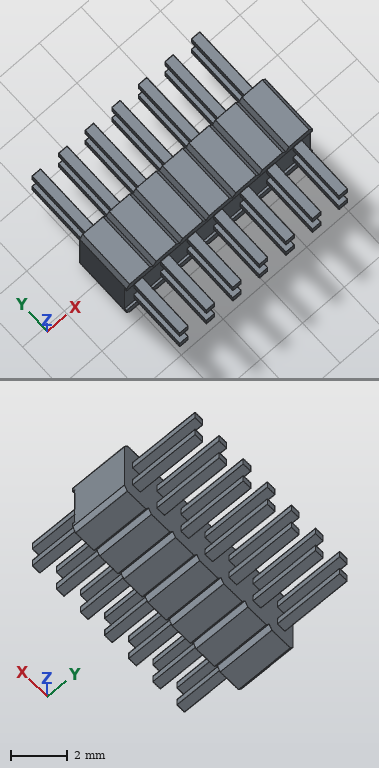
import cadquery as cq


body_length = 8.89
body_depth = 2.5
body_height = 3.4
columns = 7
rows = 2
pin_width = 0.4
total_depth = 7.85
back_pin_length = 3.005
notch_half_width = 0.15
notch_depth = 0.26
lip_height = 0.5
recess_depth = 0.1

pitch = body_length / columns
recess_height = body_height - 2 * lip_height
body_front = -body_depth / 2
pin_back = body_depth / 2 + back_pin_length


def break_off_notches():
    """V grooves along Y between columns; at the two ends half a V bevels the corner."""
    notches = cq.Workplane("XZ", origin=(0, body_depth / 2, 0))
    for side in (1, -1):
        edge_z = side * body_height / 2
        tip_z = edge_z - side * notch_depth
        for index in range(columns + 1):
            x = -body_length / 2 + index * pitch
            notches = notches.moveTo(x - notch_half_width, edge_z)
            notches = notches.lineTo(x, tip_z).lineTo(x + notch_half_width, edge_z).close()
    return notches.extrude(body_depth)


def front_recess():
    """Shallow channel along X in the front face, leaving a lip above and below."""
    channel = cq.Workplane("XY").box(body_length, recess_depth, recess_height)
    return channel.translate((0, body_front + recess_depth / 2, 0))


def pins():
    """Grid of square pins running through the block from back to front."""
    return (
        cq.Workplane("XZ", origin=(0, pin_back, 0))
        .rarray(pitch, pitch, columns, rows)
        .rect(pin_width, pin_width)
        .extrude(total_depth)
    )


block = cq.Workplane("XY").box(body_length, body_depth, body_height)
block = block.cut(break_off_notches()).cut(front_recess())

result = block.union(pins())